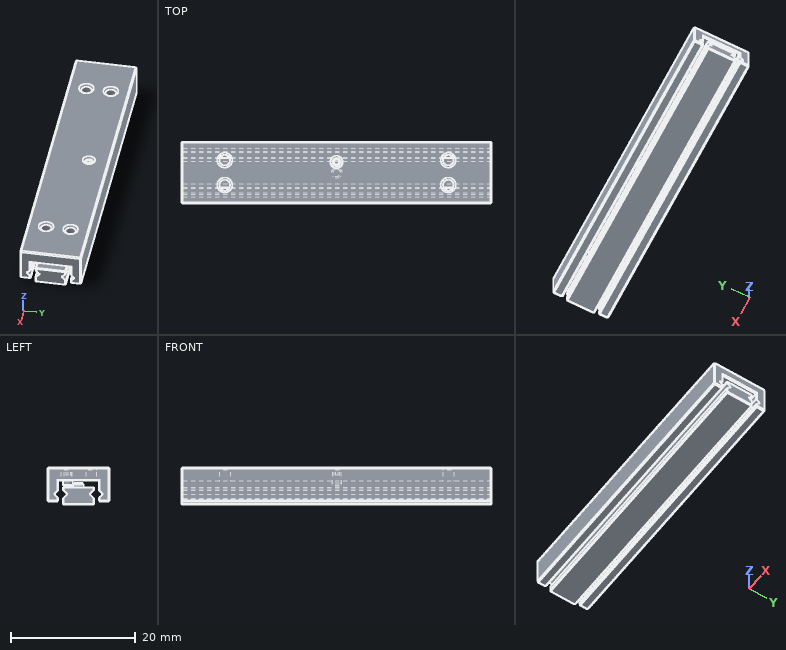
import cadquery as cq
import math

length = 50.0
width = 10.0
height = 6.0

housing_bottom = 0.5
housing_chamfer = 0.2
channel_width = 6.5
channel_ceiling = 3.85

rail_width = 5.0
rail_height = 2.85
rail_chamfer = 0.15

groove_height = 1.7
housing_groove_depth = 0.65
rail_groove_depth = 0.7

mount_diameter = 1.7
mount_sink_diameter = 2.4
mount_spacing_x = 36.0
mount_spacing_y = 4.0

pin_y = 1.7
pin_diameter = 1.6
pin_stem_diameter = 1.3
pin_sink_diameter = 2.0
pin_bottom = 3.05
pin_chamfer = 0.15
socket_width = 0.75
socket_depth = 0.8

button_diameter = 1.7
button_height = 0.65
button_chamfer = 0.25

pin_sink_depth = (pin_sink_diameter - pin_stem_diameter) / 2
pin_top = height - pin_sink_depth


def box(size_x, size_y, bottom, top):
    """Box centred on the Z axis between two heights."""
    return (
        cq.Workplane("XY")
        .workplane(offset=bottom)
        .rect(size_x, size_y)
        .extrude(top - bottom)
    )


def cylinder(diameter, bottom, top):
    """Upright cylinder on the Z axis between two heights."""
    return cq.Workplane("XY").workplane(offset=bottom).circle(diameter / 2).extrude(top - bottom)


def groove_cutter(wall_width, groove_depth):
    """Two square bars along X, standing on edge, one centred on each of two facing walls."""
    bar_side = groove_depth * math.sqrt(2)
    bar = cq.Workplane("YZ").rect(bar_side, bar_side).extrude(length / 2, both=True)
    bar = bar.rotate((0, 0, 0), (1, 0, 0), 45)
    left = bar.translate((0, wall_width / 2, groove_height))
    right = bar.translate((0, -wall_width / 2, groove_height))
    return left.union(right)


def sunk_hole_cutter(diameter, sink_diameter):
    """Hole through the housing roof with a 90 degree countersink at the top."""
    sink_depth = (sink_diameter - diameter) / 2
    hole = cylinder(diameter, channel_ceiling, height)
    sink = cq.Solid.makeCone(
        diameter / 2, sink_diameter / 2, sink_depth, pnt=cq.Vector(0, 0, height - sink_depth)
    )
    return hole.union(cq.Workplane(sink))


def make_housing():
    """Channel with chamfered ends and outer edges, V grooves and countersunk holes."""
    body = box(length, width, housing_bottom, height)
    channel = box(length, channel_width, housing_bottom, channel_ceiling)
    body = body.cut(channel)
    body = body.faces("<X or >X or <Z or >Z").edges().chamfer(housing_chamfer)
    body = body.cut(groove_cutter(channel_width, housing_groove_depth))
    mount_cutter = sunk_hole_cutter(mount_diameter, mount_sink_diameter)
    for side_x in (-1, 1):
        for side_y in (-1, 1):
            place = (side_x * mount_spacing_x / 2, side_y * mount_spacing_y / 2, 0)
            body = body.cut(mount_cutter.translate(place))
    pin_cutter = sunk_hole_cutter(pin_stem_diameter, pin_sink_diameter)
    return body.cut(pin_cutter.translate((0, pin_y, 0)))


def make_rail():
    """Bar chamfered all round, with a V groove in each side."""
    body = box(length, rail_width, 0, rail_height)
    body = body.edges().chamfer(rail_chamfer)
    return body.cut(groove_cutter(rail_width, rail_groove_depth))


def make_stop_pin():
    """Chamfered head below the channel ceiling, with a stem and hexagon socket in the housing roof."""
    head = cylinder(pin_diameter, pin_bottom, channel_ceiling).faces("<Z").chamfer(pin_chamfer)
    stem = cylinder(pin_stem_diameter, channel_ceiling, pin_top)
    socket = (
        cq.Workplane("XY")
        .workplane(offset=pin_top)
        .polygon(6, socket_width, circumscribed=True)
        .extrude(-socket_depth)
        .rotate((0, 0, 0), (0, 0, 1), 30)
    )
    return head.union(stem).cut(socket).translate((0, pin_y, 0))


def make_stop_button():
    """Round button with a chamfered top, standing on the middle of the rail."""
    button = cylinder(button_diameter, rail_height, rail_height + button_height)
    return button.faces(">Z").chamfer(button_chamfer)


housing = make_housing().solids()
rail = make_rail().solids()
stop_pin = make_stop_pin().solids()
stop_button = make_stop_button().solids()

result = cq.Compound.makeCompound(
    [housing.val(), rail.val(), stop_pin.val(), stop_button.val()]
)